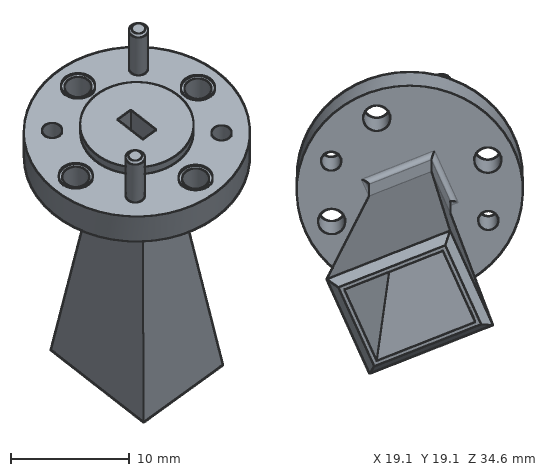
import cadquery as cq

total_height = 34.62
bevel_height = 0.83
flare_top = 23.2
flange_bottom = 26.38
flange_thickness = 3.2
boss_height = 0.9
flange_top = flange_bottom + flange_thickness
boss_top = flange_top + boss_height

flange_diameter = 19.05
boss_diameter = 9.55
hole_circle_radius = 7.13
screw_hole_diameter = 2.3
counterbore_diameter = 2.87
counterbore_depth = 0.15
dowel_hole_diameter = 1.7
pin_diameter = 1.63
pin_chamfer = 0.25

neck_size = (5.7, 4.12)
horn_size = (11.3, 9.28)
bevel_inset = 0.75
mouth_rim = 0.38
guide_size = (3.08, 1.55)
neck_fillet = 0.5


def inset(size, distance):
    """Shrink a rectangle by the same distance on every side."""
    return tuple(side - 2 * distance for side in size)


def taper(lower_size, lower_z, upper_size, upper_z):
    """Rectangular frustum between two heights."""
    return (
        cq.Workplane("XY", origin=(0, 0, lower_z))
        .rect(*lower_size)
        .workplane(offset=upper_z - lower_z)
        .rect(*upper_size)
        .loft(ruled=True)
    )


def make_flange():
    """Flange disc and raised boss, with four counterbored screw holes and two dowel holes."""
    flange = (
        cq.Workplane("XY", origin=(0, 0, flange_bottom))
        .circle(flange_diameter / 2)
        .extrude(flange_thickness)
    )
    screw_holes = (
        cq.Workplane("XY", origin=(0, 0, flange_top))
        .polarArray(hole_circle_radius, 0, 360, 4)
        .circle(screw_hole_diameter / 2)
        .extrude(-flange_thickness)
    )
    counterbores = (
        cq.Workplane("XY", origin=(0, 0, flange_top))
        .polarArray(hole_circle_radius, 0, 360, 4)
        .circle(counterbore_diameter / 2)
        .extrude(-counterbore_depth)
    )
    dowel_holes = (
        cq.Workplane("XY", origin=(0, 0, flange_bottom))
        .polarArray(hole_circle_radius, 45, 360, 2)
        .circle(dowel_hole_diameter / 2)
        .extrude(flange_thickness)
    )
    boss = (
        cq.Workplane("XY", origin=(0, 0, flange_top))
        .circle(boss_diameter / 2)
        .extrude(boss_height)
    )
    return flange.cut(screw_holes).cut(counterbores).cut(dowel_holes).union(boss)


def make_pins():
    """Two diagonally opposite alignment pins with chamfered tips."""
    return (
        cq.Workplane("XY", origin=(0, 0, flange_bottom))
        .polarArray(hole_circle_radius, 135, 360, 2)
        .circle(pin_diameter / 2)
        .extrude(total_height - flange_bottom)
        .faces(">Z")
        .edges()
        .chamfer(pin_chamfer)
    )


def make_horn():
    """Flared horn with a bevelled mouth, below a straight neck."""
    bevel = taper(inset(horn_size, bevel_inset), 0, horn_size, bevel_height)
    flare = taper(horn_size, bevel_height, neck_size, flare_top)
    neck = taper(neck_size, flare_top, neck_size, flange_bottom)
    return bevel.union(flare).union(neck)


def make_waveguide():
    """Straight guide through flange and neck, widening to a thin rim at the mouth."""
    mouth_size = inset(horn_size, bevel_inset + mouth_rim)
    flare = taper(mouth_size, 0, guide_size, flare_top)
    guide = taper(guide_size, flare_top, guide_size, boss_top)
    return flare.union(guide)


body = make_flange().union(make_horn())

joint_box = cq.selectors.BoxSelector(
    (-neck_size[0], -neck_size[1], flange_bottom - neck_fillet),
    (neck_size[0], neck_size[1], flange_bottom + neck_fillet),
)
body = body.edges("|X or |Y").edges(joint_box).fillet(neck_fillet)

result = body.union(make_pins()).cut(make_waveguide())